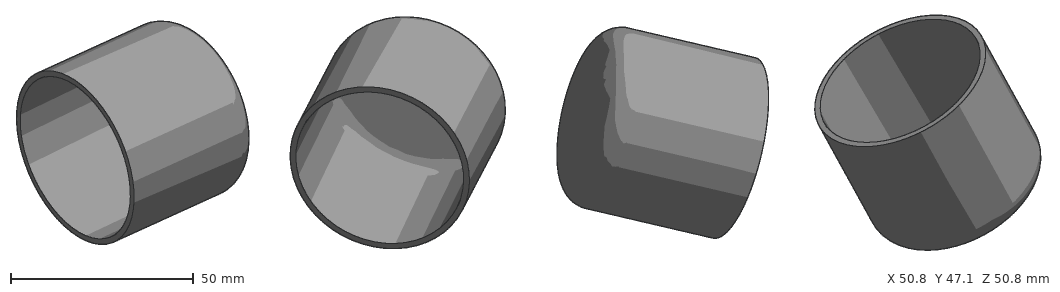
import cadquery as cq
import math

outer_diameter = 50.8
wall = 1.65
straight_length = 38.1
overall_length = 47.1
crown_radius = 70.0
crown_edge_radius = 20.45

outer_radius = outer_diameter / 2
crown_center_y = overall_length - crown_radius


def crown_point(radius):
    """Point (y, z) of the outer crown arc at the given distance from the axis."""
    return crown_center_y + math.sqrt(crown_radius**2 - radius**2), radius


def solid_cap():
    """Solid of revolution of the outer outline: skirt, rounded knuckle and crown."""
    outline = (
        cq.Workplane("YZ")
        .moveTo(overall_length, 0)
        .threePointArc(crown_point(crown_edge_radius / 2), crown_point(crown_edge_radius))
        .tangentArcPoint((straight_length, outer_radius), relative=False)
        .lineTo(0, outer_radius)
        .lineTo(0, 0)
        .close()
    )
    return outline.revolve(360, (0, 0), (1, 0))


def hollow_out(body):
    """Leave a wall of even thickness inside the outer surface, open at the rim."""
    return body.faces("<Y").shell(-wall)


result = hollow_out(solid_cap())